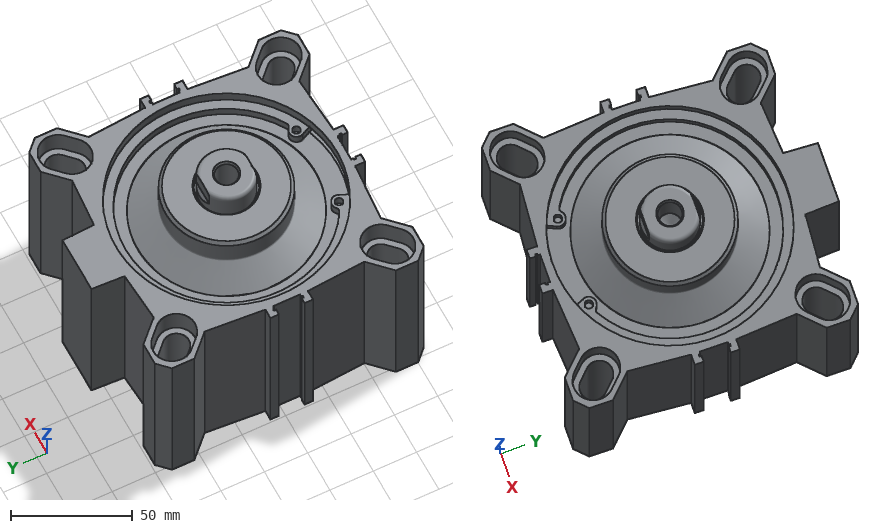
import cadquery as cq
import math

HOUSING_HEIGHT = 80.8
OVERALL_X = 124.0
OVERALL_Y = 131.0
LUG_REACH = OVERALL_X / 2
LUG_WIDTH = 22.0
LUG_CHAMFER = 5.2
NECK_REACH = 52.4
FLOOR_REACH = 54.4
PORT_REACH = OVERALL_Y - LUG_REACH
PORT_ROOT_WIDTH = 27.8
PORT_TIP_WIDTH = 26.2

RIB_REACH = 59.0
RIB_OUTER = 9.8
RIB_HEAD_INNER = 5.9
RIB_BASE_INNER = 6.2
RIB_NOTCH_INNER = 6.8
NOTCH_BOTTOM = 1.0
NOTCH_TOP = 2.0
RIB_SIDES = (0, 180, 270)

SLOT_OFFSET = 49.3
SLOT_WIDTH = 11.4
SLOT_TRAVEL = 6.0
SLOT_RECESS_WIDTH = 17.0
SLOT_RECESS_DEPTH = 11.0
LUG_ANGLES = (45, 135, 225, 315)

RING_DEPTH = 5.1
RING_THICKNESS = 4.2
RING_OUTER_D = 106.2
RING_INNER_D = 93.0
EAR_RADIUS = 3.3
EAR_HOLE_D = 3.5
EAR_BLEND = 2.0
EAR_X = 19.3
EAR_Y = -42.0

COVER_D = 101.7
COVER_FLANGE = 19.6
CONE_BASE_D = 81.9
CONE_STEP = 0.7
CONE_HEIGHT = 7.0
CONE_RIM_ROUND = 0.4
COLLAR_D = 56.0
COLLAR_ROOT_FILLET = 0.7
COLLAR_RISE = 10.7
COLLAR_CHAMFER = 1.5
WIPER_D = 26.9
WIPER_MOUTH_D = 28.0
WIPER_DEPTH = 2.6

ROD_D = 25.0
ROD_TOP = 101.5
ROD_EDGE_RADIUS = 1.8
FLAT_DISTANCE = 11.0
FLAT_LENGTH = 7.2
ROD_HOLE_D = 10.1
ROD_HOLE_MOUTH_D = 11.4
ROD_HOLE_MOUTH_DEPTH = 1.2
ROD_HOLE_DEPTH = 19.6
DRILL_POINT_ANGLE = 118.0

EDGE_MARGIN = 0.1

RING_TOP = HOUSING_HEIGHT - RING_DEPTH
RING_BOTTOM = RING_TOP - RING_THICKNESS
COVER_BOTTOM = RING_BOTTOM - COVER_FLANGE
COLLAR_TOP = HOUSING_HEIGHT + COLLAR_RISE


def turned(profile):
    """Solid of revolution about Z from a closed (radius, z) profile."""
    return cq.Workplane("XZ").polyline(profile).close().revolve(360, (0, 0, 0), (0, 1, 0))


def disc(diameter, bottom, top):
    return cq.Workplane("XY").workplane(offset=bottom).circle(diameter / 2).extrude(top - bottom)


def circle_at(diameter, z):
    """Selects the circular edge of this diameter about Z at height z."""
    radius = diameter / 2 + EDGE_MARGIN
    return cq.selectors.BoxSelector(
        (-radius, -radius, z - EDGE_MARGIN), (radius, radius, z + EDGE_MARGIN), boundingbox=True
    )


def rotated_point(point, degrees):
    angle = math.radians(degrees)
    x, y = point
    return (x * math.cos(angle) - y * math.sin(angle), x * math.sin(angle) + y * math.cos(angle))


def housing_block():
    flank = LUG_WIDTH / 2 * math.sqrt(2)
    tip = LUG_REACH - LUG_CHAMFER
    quarter = [
        (FLOOR_REACH, -RIB_OUTER),
        (FLOOR_REACH, RIB_OUTER),
        (NECK_REACH, NECK_REACH - flank),
        (LUG_REACH, LUG_REACH - flank),
        (LUG_REACH, tip),
        (tip, LUG_REACH),
        (LUG_REACH - flank, LUG_REACH),
        (NECK_REACH - flank, NECK_REACH),
    ]
    outline = [rotated_point(p, turn) for turn in (0, 90, 180, 270) for p in quarter]
    return cq.Workplane("XY").polyline(outline).close().extrude(HOUSING_HEIGHT)


def port_block():
    root_y = NECK_REACH
    outline = [
        (-PORT_ROOT_WIDTH / 2, root_y),
        (PORT_ROOT_WIDTH / 2, root_y),
        (PORT_TIP_WIDTH / 2, PORT_REACH),
        (-PORT_TIP_WIDTH / 2, PORT_REACH),
    ]
    return cq.Workplane("XY").polyline(outline).close().extrude(HOUSING_HEIGHT)


def rail_ribs(side_angle):
    """The pair of ribs on one side; each has a shallow notch facing its partner."""
    profile = [
        (NECK_REACH, RIB_OUTER),
        (RIB_REACH, RIB_OUTER),
        (RIB_REACH, RIB_HEAD_INNER),
        (FLOOR_REACH + NOTCH_TOP, RIB_HEAD_INNER),
        (FLOOR_REACH + NOTCH_TOP, RIB_NOTCH_INNER),
        (FLOOR_REACH + NOTCH_BOTTOM, RIB_NOTCH_INNER),
        (FLOOR_REACH + NOTCH_BOTTOM, RIB_BASE_INNER),
        (NECK_REACH, RIB_BASE_INNER),
    ]
    rib = cq.Workplane("XY").polyline(profile).close().extrude(HOUSING_HEIGHT)
    pair = rib.union(rib.mirror("XZ"))
    return pair.rotate((0, 0, 0), (0, 0, 1), side_angle)


def lug_slot(lug_angle):
    """Through slot with a wider recess at the top, lying along the lug."""
    reach = SLOT_OFFSET * math.sqrt(2)
    through = (
        cq.Workplane("XY").center(reach, 0)
        .slot2D(SLOT_TRAVEL + SLOT_WIDTH, SLOT_WIDTH)
        .extrude(HOUSING_HEIGHT)
    )
    recess = (
        cq.Workplane("XY").workplane(offset=HOUSING_HEIGHT - SLOT_RECESS_DEPTH).center(reach, 0)
        .slot2D(SLOT_TRAVEL + SLOT_RECESS_WIDTH, SLOT_RECESS_WIDTH)
        .extrude(SLOT_RECESS_DEPTH)
    )
    return through.union(recess).rotate((0, 0, 0), (0, 0, 1), lug_angle)


def make_housing():
    body = housing_block().union(port_block())
    for side_angle in RIB_SIDES:
        body = body.union(rail_ribs(side_angle))
    for lug_angle in LUG_ANGLES:
        body = body.cut(lug_slot(lug_angle))
    cover_bore = disc(COVER_D, COVER_BOTTOM, HOUSING_HEIGHT)
    ring_groove = disc(RING_OUTER_D, RING_BOTTOM, RING_TOP)
    return body.cut(cover_bore).cut(ring_groove)


def ring_gap():
    """Wedge at -Y between the ring ends, each edge tangent to an ear and parallel to its radius."""
    ear_distance = math.hypot(EAR_X, EAR_Y)
    along = (EAR_X / ear_distance, EAR_Y / ear_distance)
    start = (EAR_X + along[1] * EAR_RADIUS, EAR_Y - along[0] * EAR_RADIUS)
    end = (start[0] + along[0] * RING_OUTER_D, start[1] + along[1] * RING_OUTER_D)
    outline = [start, end, (-end[0], end[1]), (-start[0], start[1])]
    return (
        cq.Workplane("XY").workplane(offset=RING_BOTTOM)
        .polyline(outline).close().extrude(RING_THICKNESS)
    )


def ear_blend_points():
    """Where the two ear outlines leave the inner edge of the ring."""
    ring_radius = RING_INNER_D / 2
    ear_distance = math.hypot(EAR_X, EAR_Y)
    spread = math.acos(
        (ear_distance**2 + ring_radius**2 - EAR_RADIUS**2) / (2 * ear_distance * ring_radius)
    )
    angle = math.atan2(EAR_Y, EAR_X) + spread
    x = ring_radius * math.cos(angle)
    y = ring_radius * math.sin(angle)
    middle_z = (RING_BOTTOM + RING_TOP) / 2
    return [(-x, y, middle_z), (x, y, middle_z)]


def make_ring():
    ear_centres = [(-EAR_X, EAR_Y), (EAR_X, EAR_Y)]
    plane = cq.Workplane("XY").workplane(offset=RING_BOTTOM)
    band = plane.circle(RING_OUTER_D / 2).circle(RING_INNER_D / 2).extrude(RING_THICKNESS)
    ears = plane.pushPoints(ear_centres).circle(EAR_RADIUS).extrude(RING_THICKNESS)
    ear_holes = plane.pushPoints(ear_centres).circle(EAR_HOLE_D / 2).extrude(RING_THICKNESS)
    ring_body = band.cut(ring_gap()).union(ears)
    for corner in ear_blend_points():
        ring_body = ring_body.edges(cq.NearestToPointSelector(corner)).fillet(EAR_BLEND)
    return ring_body.cut(ear_holes)


def make_cover():
    rim_top = RING_BOTTOM + CONE_STEP
    cone_top = rim_top + CONE_HEIGHT
    body = turned([
        (0, COVER_BOTTOM),
        (COVER_D / 2, COVER_BOTTOM),
        (COVER_D / 2, RING_BOTTOM),
        (CONE_BASE_D / 2, RING_BOTTOM),
        (CONE_BASE_D / 2, rim_top),
        (COLLAR_D / 2, cone_top),
        (COLLAR_D / 2, COLLAR_TOP - COLLAR_CHAMFER),
        (COLLAR_D / 2 - COLLAR_CHAMFER, COLLAR_TOP),
        (0, COLLAR_TOP),
    ])
    body = body.edges(circle_at(COLLAR_D, cone_top)).fillet(COLLAR_ROOT_FILLET)
    body = body.edges(circle_at(CONE_BASE_D, rim_top)).fillet(CONE_RIM_ROUND)
    mouth_chamfer = (WIPER_MOUTH_D - WIPER_D) / 2
    rod_passage = turned([
        (0, COVER_BOTTOM),
        (ROD_D / 2, COVER_BOTTOM),
        (ROD_D / 2, COLLAR_TOP - WIPER_DEPTH),
        (WIPER_D / 2, COLLAR_TOP - WIPER_DEPTH),
        (WIPER_D / 2, COLLAR_TOP - mouth_chamfer),
        (WIPER_MOUTH_D / 2, COLLAR_TOP),
        (0, COLLAR_TOP),
    ])
    return body.cut(rod_passage)


def wrench_flat():
    """Cutter for the flat on the +Y side; its lower end slopes down and out at 45 degrees."""
    flat_bottom = ROD_TOP - FLAT_LENGTH
    outline = [
        (FLAT_DISTANCE, ROD_TOP),
        (FLAT_DISTANCE, flat_bottom),
        (ROD_D / 2, flat_bottom - (ROD_D / 2 - FLAT_DISTANCE)),
        (ROD_D / 2, ROD_TOP),
    ]
    return cq.Workplane("YZ").polyline(outline).close().extrude(ROD_D / 2, both=True)


def rod_hole():
    """Blind hole with a countersunk mouth and a drill point."""
    radius = ROD_HOLE_D / 2
    bottom = ROD_TOP - ROD_HOLE_DEPTH
    point_depth = radius / math.tan(math.radians(DRILL_POINT_ANGLE / 2))
    return turned([
        (0, bottom - point_depth),
        (radius, bottom),
        (radius, ROD_TOP - ROD_HOLE_MOUTH_DEPTH),
        (ROD_HOLE_MOUTH_D / 2, ROD_TOP),
        (0, ROD_TOP),
    ])


def make_rod():
    rod = disc(ROD_D, COVER_BOTTOM, ROD_TOP).faces(">Z").edges().fillet(ROD_EDGE_RADIUS)
    flat = wrench_flat()
    return rod.cut(flat).cut(flat.mirror("XZ")).cut(rod_hole())


housing = make_housing()
ring = make_ring()
cover = make_cover()
rod = make_rod()

result = cq.Compound.makeCompound([body.solids().val() for body in (housing, ring, cover, rod)])